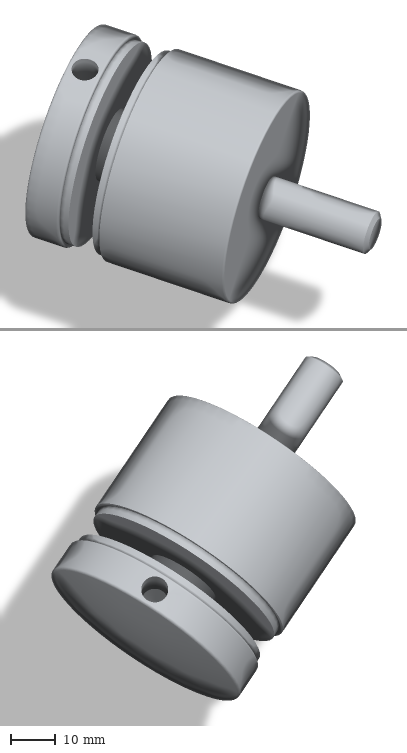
import cadquery as cq


body_radius = 25.0
pad_radius = 24.0
neck_radius = 8.5
stud_radius = 5.0

overall_length = 77.0
dome_height = 2.9
cap_length = 10.9
pad_thickness = 2.1
glass_gap = 5.8
base_length = 30.0
stud_depth_in_cap = 5.0

sleeve_flange_end = cap_length + pad_thickness
gasket_start = sleeve_flange_end + glass_gap
base_start = gasket_start + pad_thickness
base_end = base_start + base_length
stud_start = cap_length - stud_depth_in_cap

cap_front_fillet = 0.6
rear_edge_fillet = 0.5
stud_chamfer_length = 0.85
stud_end_radius = 3.7

tool_hole_radius = 3.0
tool_hole_x = 6.9
tool_hole_depth = 10.0
tool_hole_cone_height = 1.8


def cylinder(start, end, radius):
    """Solid cylinder on the X axis between two X positions."""
    return cq.Workplane("YZ").workplane(offset=start).circle(radius).extrude(end - start)


def tool_hole():
    """Blind radial hole from the +Z side with a conical drill-point bottom."""
    floor_z = body_radius - tool_hole_depth
    profile = (
        cq.Workplane("XZ")
        .moveTo(0, floor_z - tool_hole_cone_height)
        .lineTo(tool_hole_radius, floor_z)
        .lineTo(tool_hole_radius, body_radius)
        .lineTo(0, body_radius)
        .close()
    )
    return profile.revolve(360, (0, 0, 0), (0, 1, 0)).translate((tool_hole_x, 0, 0))


def make_cap(stud):
    """Domed cap with rounded rims, tool hole and blind stud socket."""
    dome_radius = (body_radius**2 + dome_height**2) / (2 * dome_height)
    dome_ball = cq.Workplane("XY").sphere(dome_radius).translate((dome_radius, 0, 0))
    cap = cylinder(0, cap_length, body_radius).intersect(dome_ball)
    cap = cap.faces(">X").edges().fillet(rear_edge_fillet)
    front_rim = cq.selectors.BoxSelector(
        (0, -2 * body_radius, -2 * body_radius),
        (cap_length / 2, 2 * body_radius, 2 * body_radius),
    )
    cap = cap.edges("%CIRCLE").edges(front_rim).fillet(cap_front_fillet)
    return cap.cut(tool_hole()).cut(stud)


def make_sleeve(stud):
    """Flanged bushing: pad against the cap plus the neck through the glass."""
    flange = cylinder(cap_length, sleeve_flange_end, pad_radius)
    neck = cylinder(sleeve_flange_end, gasket_start, neck_radius)
    return flange.union(neck).cut(stud)


def make_gasket(stud):
    """Flat ring between the glass and the base."""
    return cylinder(gasket_start, base_start, pad_radius).cut(stud)


def make_base(stud):
    """Cylindrical spacer with a rounded rear rim."""
    base = cylinder(base_start, base_end, body_radius)
    return base.faces(">X").edges().fillet(rear_edge_fillet).cut(stud)


def make_stud():
    """Central rod with a steep chamfer on its free end."""
    straight_end = overall_length - stud_chamfer_length
    profile = (
        cq.Workplane("XZ")
        .moveTo(stud_start, 0)
        .lineTo(stud_start, stud_radius)
        .lineTo(straight_end, stud_radius)
        .lineTo(overall_length, stud_end_radius)
        .lineTo(overall_length, 0)
        .close()
    )
    return profile.revolve(360, (0, 0, 0), (1, 0, 0))


stud = make_stud()
cap = make_cap(stud)
sleeve = make_sleeve(stud)
gasket = make_gasket(stud)
base = make_base(stud)

result = cq.Compound.makeCompound(
    [cap.val(), sleeve.val(), gasket.val(), base.val(), stud.val()]
)